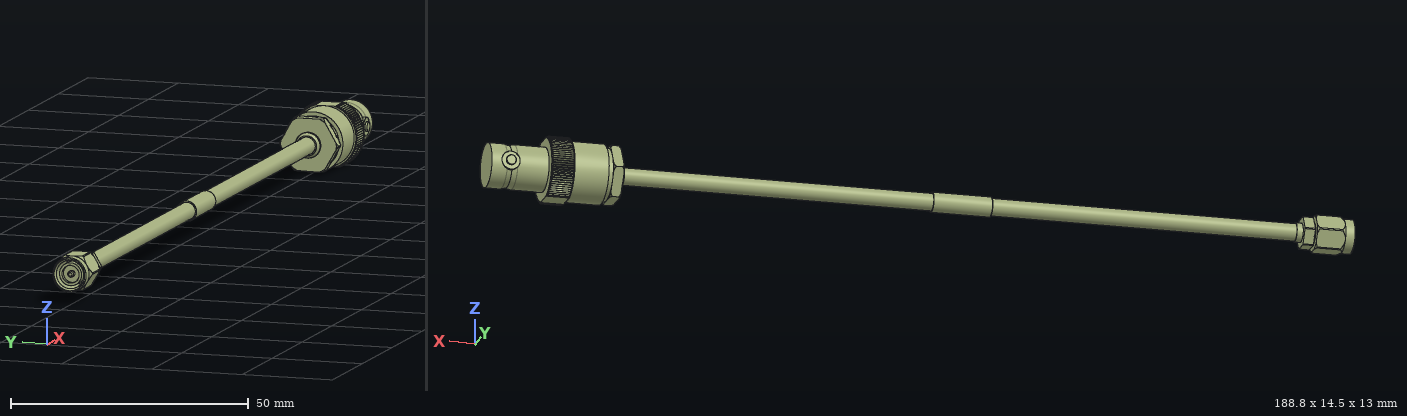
import cadquery as cq
import math


TOTAL_LENGTH = 188.8

TURNED_CORNER_SHARE = 0.98

CABLE_DIAMETER = 3.8
CABLE_START = 9.3
CABLE_END = 162.2
SLEEVE_DIAMETER = 4.3
SLEEVE_START = 78.7
SLEEVE_LENGTH = 12.8

NUT_LENGTH = 8.3
NUT_FLATS = 7.4
NUT_COLLAR_LENGTH = 2.0
NUT_FRONT_TAPER = 0.8
NUT_REAR_CHAMFER = 0.4
NUT_BORE = 6.0
NUT_MOUTH_CHAMFER = 0.4
NUT_BORE_DEPTH = 6.5

PLUG_SHAFT_DIAMETER = 5.0
PLUG_SHAFT_START = 0.8
PLUG_SOCKET_DIAMETER = 3.8
PLUG_SOCKET_DEPTH = 1.0
PLUG_HEX_FLATS = 6.2
PLUG_HEX_START = 8.7
PLUG_HEX_LENGTH = 2.3
PLUG_TAIL_DIAMETER = 4.2
PLUG_TAIL_END = 12.3

PIN_DIAMETER = 1.3
PIN_START = 0.5
PIN_CHAMFER = 0.28

CLAMP_FLATS = 11.3
CLAMP_START = 160.3
CLAMP_HEX_LENGTH = 2.3
CLAMP_CHAMFER = 0.4
CLAMP_BOSS_DIAMETER = 5.5
CLAMP_BOSS_LENGTH = 1.1
CLAMP_BOSS_CHAMFER = 0.5

SHELL_START = 163.7
SHELL_DIAMETER = 13.0
KNURL_START = 171.3
KNURL_LENGTH = 5.1
KNURL_DIAMETER = 14.5
KNURL_TOOTH_DEPTH = 0.4
KNURL_TEETH = 90
KNURL_FLATS = 13.0
KNURL_CHAMFER = 0.4
BARREL_DIAMETER = 9.6
GROOVE_CENTRE = 184.3
GROOVE_WIDTH = 2.3
GROOVE_DEPTH = 0.28
STUD_CENTRE = 184.7
STUD_DIAMETER = 2.0
STUD_SPAN = 10.5
PAD_DIAMETER = 4.0


def cylinder(start, end, diameter):
    """Round bar along X from start to end."""
    return cq.Workplane("YZ", origin=(start, 0, 0)).circle(diameter / 2).extrude(end - start)


def corner_diameter(flats):
    """Diameter over the sharp corners of a hexagon."""
    return flats / math.cos(math.pi / 6)


def hexagon(start, end, flats):
    """Hexagonal bar along X with flats facing +Z and -Z."""
    plane = cq.Workplane("YZ", origin=(start, 0, 0))
    return plane.polygon(6, corner_diameter(flats)).extrude(end - start)


def chamfered_cylinder(start, end, diameter, chamfer):
    """Round bar along X with both end edges chamfered."""
    return cylinder(start, end, diameter).faces("<X or >X").chamfer(chamfer)


def make_cable():
    return cylinder(CABLE_START, CABLE_END, CABLE_DIAMETER)


def make_sleeve():
    end = SLEEVE_START + SLEEVE_LENGTH
    return cylinder(SLEEVE_START, end, SLEEVE_DIAMETER).cut(cylinder(SLEEVE_START, end, CABLE_DIAMETER))


def make_coupling_nut():
    """Hexagonal nut whose corners taper down to a round collar at the open end."""
    collar_radius = NUT_FLATS / 2
    corner_radius = TURNED_CORNER_SHARE * corner_diameter(NUT_FLATS) / 2
    envelope = (
        cq.Workplane("XY")
        .moveTo(NUT_COLLAR_LENGTH, 0)
        .lineTo(NUT_COLLAR_LENGTH, collar_radius)
        .lineTo(NUT_COLLAR_LENGTH + NUT_FRONT_TAPER, corner_radius)
        .lineTo(NUT_LENGTH - NUT_REAR_CHAMFER, corner_radius)
        .lineTo(NUT_LENGTH, corner_radius - NUT_REAR_CHAMFER)
        .lineTo(NUT_LENGTH, 0)
        .close()
        .revolve(360, (0, 0, 0), (1, 0, 0))
    )
    nut = hexagon(NUT_COLLAR_LENGTH, NUT_LENGTH, NUT_FLATS).intersect(envelope)
    nut = nut.union(cylinder(0, NUT_COLLAR_LENGTH, NUT_FLATS))
    nut = nut.cut(cylinder(0, NUT_BORE_DEPTH, NUT_BORE))
    nut = nut.faces("<X").edges(cq.selectors.RadiusNthSelector(0)).chamfer(NUT_MOUTH_CHAMFER)
    return nut.cut(cylinder(0, NUT_LENGTH, PLUG_SHAFT_DIAMETER))


def make_plug_body():
    body = cylinder(PLUG_SHAFT_START, PLUG_HEX_START, PLUG_SHAFT_DIAMETER)
    hex_end = PLUG_HEX_START + PLUG_HEX_LENGTH
    turned_diameter = TURNED_CORNER_SHARE * corner_diameter(PLUG_HEX_FLATS)
    wrench_hex = hexagon(PLUG_HEX_START, hex_end, PLUG_HEX_FLATS)
    body = body.union(wrench_hex.intersect(cylinder(PLUG_HEX_START, hex_end, turned_diameter)))
    body = body.union(cylinder(PLUG_HEX_START, PLUG_TAIL_END, PLUG_TAIL_DIAMETER))
    socket_end = PLUG_SHAFT_START + PLUG_SOCKET_DEPTH
    body = body.cut(cylinder(PLUG_SHAFT_START, socket_end, PLUG_SOCKET_DIAMETER))
    body = body.cut(cylinder(PLUG_SHAFT_START, CABLE_START, PIN_DIAMETER))
    return body.cut(cylinder(CABLE_START, PLUG_TAIL_END, CABLE_DIAMETER))


def make_contact_pin():
    pin = cylinder(PIN_START, CABLE_START, PIN_DIAMETER)
    return pin.faces("<X").chamfer(PIN_CHAMFER)


def make_clamp_nut():
    hex_end = CLAMP_START + CLAMP_HEX_LENGTH
    nut = hexagon(CLAMP_START, hex_end, CLAMP_FLATS)
    envelope = chamfered_cylinder(CLAMP_START, hex_end, corner_diameter(CLAMP_FLATS), CLAMP_CHAMFER)
    nut = nut.intersect(envelope)
    nut = nut.union(cylinder(hex_end, SHELL_START, CLAMP_FLATS))
    boss = cylinder(CLAMP_START - CLAMP_BOSS_LENGTH, CLAMP_START, CLAMP_BOSS_DIAMETER)
    nut = nut.union(boss.faces("<X").chamfer(CLAMP_BOSS_CHAMFER))
    return nut.cut(cylinder(CLAMP_START - CLAMP_BOSS_LENGTH, CABLE_END, CABLE_DIAMETER))


def make_knurl():
    """Straight-knurled grip with chamfered ends and two wrench flats."""
    tip_radius = KNURL_DIAMETER / 2
    root_radius = tip_radius - KNURL_TOOTH_DEPTH
    points = []
    for i in range(2 * KNURL_TEETH):
        radius = root_radius if i % 2 else tip_radius
        angle = math.pi * i / KNURL_TEETH
        points.append((radius * math.cos(angle), radius * math.sin(angle)))
    end = KNURL_START + KNURL_LENGTH
    knurl = cq.Workplane("YZ", origin=(KNURL_START, 0, 0)).polyline(points).close().extrude(KNURL_LENGTH)
    knurl = knurl.intersect(chamfered_cylinder(KNURL_START, end, KNURL_DIAMETER, KNURL_CHAMFER))
    middle = cq.Workplane("XY", origin=(KNURL_START + KNURL_LENGTH / 2, 0, 0))
    return knurl.intersect(middle.box(KNURL_LENGTH, KNURL_DIAMETER, KNURL_FLATS))


def make_barrel_groove():
    """Shallow V-shaped ring cut around the barrel."""
    radius = BARREL_DIAMETER / 2
    return (
        cq.Workplane("XY")
        .moveTo(GROOVE_CENTRE - GROOVE_WIDTH / 2, radius)
        .lineTo(GROOVE_CENTRE, radius - GROOVE_DEPTH)
        .lineTo(GROOVE_CENTRE + GROOVE_WIDTH / 2, radius)
        .close()
        .revolve(360, (0, 0, 0), (1, 0, 0))
    )


def cross_bar(diameter, span):
    """Round bar along Y through the barrel at the bayonet studs."""
    plane = cq.Workplane("XZ", origin=(STUD_CENTRE, span / 2, 0))
    return plane.circle(diameter / 2).extrude(span)


def make_jack_shell():
    shell = cylinder(SHELL_START, KNURL_START, SHELL_DIAMETER)
    shell = shell.union(make_knurl())
    barrel = cylinder(KNURL_START + KNURL_LENGTH, TOTAL_LENGTH, BARREL_DIAMETER)
    shell = shell.union(barrel.cut(make_barrel_groove()))
    pads = cross_bar(PAD_DIAMETER, BARREL_DIAMETER)
    return shell.union(pads).union(cross_bar(STUD_DIAMETER, STUD_SPAN))


result = cq.Compound.makeCompound([
    make_cable().val(),
    make_sleeve().val(),
    make_coupling_nut().val(),
    make_plug_body().val(),
    make_contact_pin().val(),
    make_clamp_nut().val(),
    make_jack_shell().val(),
])